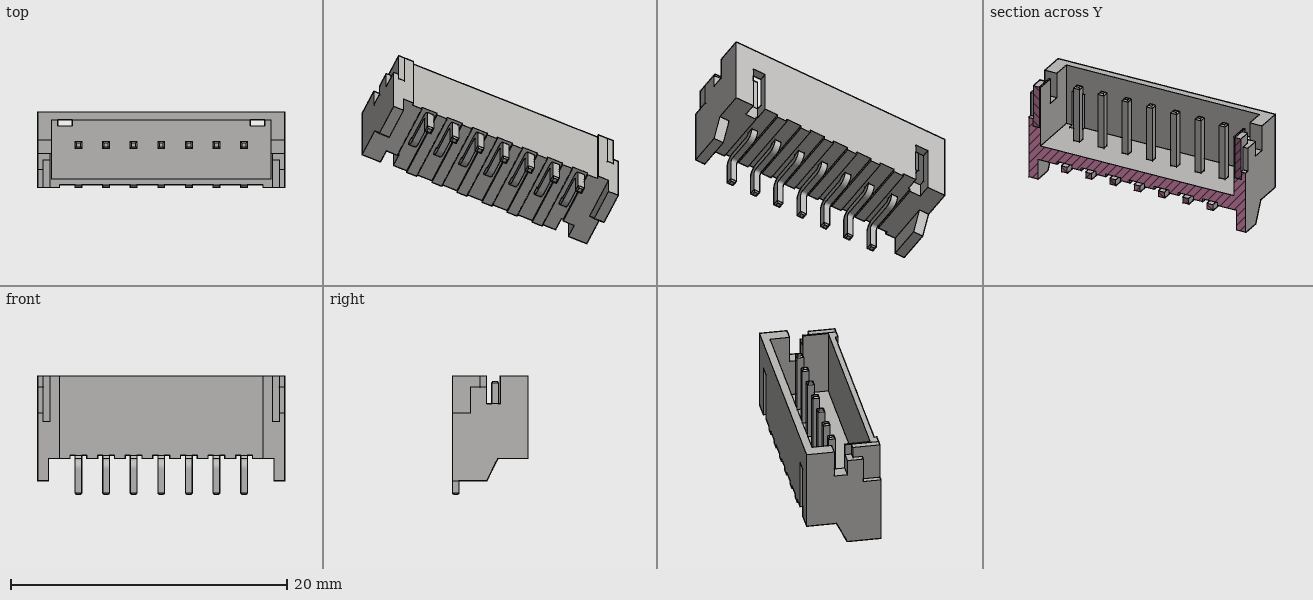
import cadquery as cq


LENGTH = 17.9
DEPTH = 5.5
HEIGHT = 6.0

END_WALL = 1.0
BACK_WALL = 0.59
FRONT_WALL = 0.6
FLOOR = 1.2

END_BLOCK = 1.6
FRONT_RECESS = 0.2

LEG_WIDTH = 0.79
LEG_DROP = 1.61
LEG_TOP_DEPTH = 3.3
LEG_FOOT_DEPTH = 2.5

SLOT_FRONT = 2.49
SLOT_BACK = 3.45
SLOT_DEPTH = 2.0

PLATE_OFFSET = 0.4
PLATE_THICKNESS = 0.48
PLATE_DEPTH = 2.0
PLATE_HEIGHT = 3.31
UPPER_RELIEF_DROP = 0.82
LOWER_RELIEF_DROP = 2.7
LOWER_RELIEF_DEPTH = 1.3

WINDOW_OFFSET = 1.47
WINDOW_WIDTH = 1.02
WINDOW_DEPTH = 1.02
WINDOW_HEIGHT = 3.94

PIN_COUNT = 7
PIN_ROW_SPAN = 12.0
PIN_PITCH = PIN_ROW_SPAN / (PIN_COUNT - 1)
PIN_SIZE = 0.5
PIN_BACK = 3.35
PIN_TOP_GAP = 0.4
PIN_TAIL_DROP = 2.6
PIN_INNER_BEND = 0.25
PIN_TIP_CHAMFER = 0.1

GROOVE_WIDTH = 1.2
GROOVE_HEIGHT = 0.23

END_SIDES = (-1, 1)
PIN_PLACES = [i * PIN_PITCH - PIN_ROW_SPAN / 2 for i in range(PIN_COUNT)]


def box_between(x_range, y_range, z_range):
    """Box spanning the given ranges; the ends of a range may come in either order."""
    spans = [sorted(r) for r in (x_range, y_range, z_range)]
    sizes = [high - low for low, high in spans]
    corner = tuple(low for low, high in spans)
    return cq.Workplane("XY").box(*sizes, centered=False).translate(corner)


def end_box(side, x_range, y_range, z_range):
    """Box at one end, with its X range measured inward from that end face."""
    x_places = [side * (LENGTH / 2 - x) for x in x_range]
    return box_between(x_places, y_range, z_range)


def make_block():
    """Open-topped box with a shallow recess along its front face."""
    half = LENGTH / 2
    block = box_between((-half, half), (0, DEPTH), (0, HEIGHT))
    cavity_end = half - END_WALL
    cavity = box_between((-cavity_end, cavity_end), (FRONT_WALL, DEPTH - BACK_WALL), (FLOOR, HEIGHT))
    recess_end = half - END_BLOCK
    recess = box_between((-recess_end, recess_end), (0, FRONT_RECESS), (0, HEIGHT))
    return block.cut(cavity).cut(recess)


def make_leg(side):
    """Leg under one end, with a sloped back edge."""
    outline = [(0, 0), (LEG_TOP_DEPTH, 0), (LEG_FOOT_DEPTH, -LEG_DROP), (0, -LEG_DROP)]
    leg = cq.Workplane("YZ").polyline(outline).close().extrude(LEG_WIDTH)
    start = -LENGTH / 2 if side < 0 else LENGTH / 2 - LEG_WIDTH
    return leg.translate((start, 0, 0))


def make_slot(side):
    """Slot down through the top of one end wall."""
    return end_box(side, (0, END_WALL), (SLOT_FRONT, SLOT_BACK), (HEIGHT - SLOT_DEPTH, HEIGHT))


def make_window(side):
    """Opening through the back wall and the strip of floor beside it."""
    return end_box(
        side,
        (WINDOW_OFFSET, WINDOW_OFFSET + WINDOW_WIDTH),
        (DEPTH - WINDOW_DEPTH, DEPTH),
        (0, WINDOW_HEIGHT),
    )


def make_plate(side):
    """Upright plate, flush with the front face and the top of the housing."""
    return end_box(
        side,
        (PLATE_OFFSET, PLATE_OFFSET + PLATE_THICKNESS),
        (0, PLATE_DEPTH),
        (HEIGHT - PLATE_HEIGHT, HEIGHT),
    )


def make_relief(side):
    """Stepped clearance outside one plate; the lower step reaches only to the plate's face."""
    upper = end_box(
        side,
        (0, PLATE_OFFSET + PLATE_THICKNESS),
        (0, SLOT_FRONT),
        (HEIGHT - UPPER_RELIEF_DROP, HEIGHT),
    )
    lower = end_box(
        side,
        (0, PLATE_OFFSET),
        (0, LOWER_RELIEF_DEPTH),
        (HEIGHT - LOWER_RELIEF_DROP, HEIGHT),
    )
    return upper.union(lower)


def make_groove(x):
    """Groove along the underside from front to back over one pin."""
    return box_between((x - GROOVE_WIDTH / 2, x + GROOVE_WIDTH / 2), (0, DEPTH), (0, GROOVE_HEIGHT))


def make_pin(x):
    """Square pin: up through the floor, forward under the housing, then down to its tail."""
    top = HEIGHT - PIN_TOP_GAP
    outer_bend = PIN_INNER_BEND + PIN_SIZE
    post_front = PIN_BACK - PIN_SIZE
    pin = (
        cq.Workplane("YZ")
        .moveTo(PIN_BACK, top)
        .lineTo(PIN_BACK, PIN_INNER_BEND)
        .radiusArc((PIN_BACK - outer_bend, -PIN_SIZE), outer_bend)
        .lineTo(outer_bend, -PIN_SIZE)
        .radiusArc((PIN_SIZE, -outer_bend), -PIN_INNER_BEND)
        .lineTo(PIN_SIZE, -PIN_TAIL_DROP)
        .lineTo(0, -PIN_TAIL_DROP)
        .lineTo(0, -outer_bend)
        .radiusArc((outer_bend, 0), outer_bend)
        .lineTo(post_front - PIN_INNER_BEND, 0)
        .radiusArc((post_front, PIN_INNER_BEND), -PIN_INNER_BEND)
        .lineTo(post_front, top)
        .close()
        .extrude(PIN_SIZE / 2, both=True)
    )
    pin = pin.faces(">Z or <Z").edges().chamfer(PIN_TIP_CHAMFER)
    return pin.translate((x, 0, 0))


plates = [make_plate(side) for side in END_SIDES]
pins = [make_pin(x) for x in PIN_PLACES]

housing = make_block()
for side in END_SIDES:
    housing = housing.union(make_leg(side))
    housing = housing.cut(make_slot(side)).cut(make_window(side)).cut(make_relief(side))
for x in PIN_PLACES:
    housing = housing.cut(make_groove(x))
for insert in plates + pins:
    housing = housing.cut(insert)

bodies = [housing] + plates + pins
result = cq.Compound.makeCompound([body.solids().val() for body in bodies])